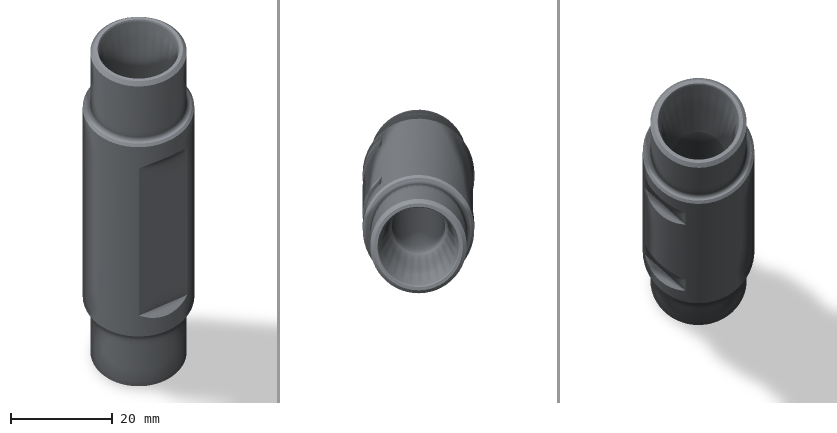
import cadquery as cq
import math

total_length = 87.0
body_diameter = 22.0
bore_diameter = 10.5

neck_diameter = 19.0
neck_length = 16.0
end_chamfer = 0.75
shoulder_chamfer = 0.5
neck_fillet = 0.8

mouth_diameter = 16.15
lead_in_depth = 0.35
lead_in_half_angle = 25.0
mouth_half_angle = 8.0

flat_distance = 9.5
flat_end_distance = 22.5
short_flat_length = 6.0

body_radius = body_diameter / 2
bore_radius = bore_diameter / 2
mouth_radius = mouth_diameter / 2
cone_radius = mouth_radius - lead_in_depth * math.tan(math.radians(lead_in_half_angle))
cone_depth = (cone_radius - bore_radius) / math.tan(math.radians(mouth_half_angle))
half_length = total_length / 2
cone_outer_height = half_length - lead_in_depth
cone_inner_height = cone_outer_height - cone_depth
body_length = total_length - 2 * neck_length
shoulder_height = body_length / 2
flat_outer_height = half_length - flat_end_distance
flat_inner_height = flat_outer_height - short_flat_length


def make_rod(diameter, length, chamfer):
    """Solid rod along Z, centred on the origin, with both ends chamfered."""
    rod = cq.Workplane("XY").cylinder(length, diameter / 2)
    return rod.faces("|Z").edges().chamfer(chamfer)


def neck_root_edge(sleeve, height):
    """Circular edge where a neck meets the shoulder at the given height."""
    tolerance = 1e-3
    return sleeve.edges("%CIRCLE").filter(
        lambda edge: abs(edge.radius() - neck_diameter / 2) < tolerance
        and abs(edge.Center().z - height) < tolerance
    )


def make_sleeve():
    """Body with a neck at each end, rounded where the necks meet the shoulders."""
    body = make_rod(body_diameter, body_length, shoulder_chamfer)
    sleeve = body.union(make_rod(neck_diameter, total_length, end_chamfer))
    for end in (1, -1):
        sleeve = neck_root_edge(sleeve, end * shoulder_height).fillet(neck_fillet)
    return sleeve


def cut_bore(sleeve):
    """Cut the through bore, straight in the middle and flaring towards both ends."""
    profile = (
        cq.Workplane("XZ")
        .moveTo(0, -half_length)
        .lineTo(mouth_radius, -half_length)
        .lineTo(cone_radius, -cone_outer_height)
        .lineTo(bore_radius, -cone_inner_height)
        .lineTo(bore_radius, cone_inner_height)
        .lineTo(cone_radius, cone_outer_height)
        .lineTo(mouth_radius, half_length)
        .lineTo(0, half_length)
        .close()
    )
    return sleeve.cut(profile.revolve(360, (0, 0, 0), (0, 1, 0)))


def make_flat_cutter(side, bottom, top):
    """Prism removing a flat on the +X (side 1) or -X (side -1) face, from bottom to top."""
    slope = body_radius - flat_distance
    return (
        cq.Workplane("XZ")
        .moveTo(side * flat_distance, bottom)
        .lineTo(side * flat_distance, top)
        .lineTo(side * body_radius, top + slope)
        .lineTo(side * body_radius, bottom - slope)
        .close()
        .extrude(body_radius, both=True)
    )


result = cut_bore(make_sleeve())

result = result.cut(make_flat_cutter(1, -flat_outer_height, flat_outer_height))

result = result.cut(make_flat_cutter(-1, flat_inner_height, flat_outer_height))
result = result.cut(make_flat_cutter(-1, -flat_outer_height, -flat_inner_height))